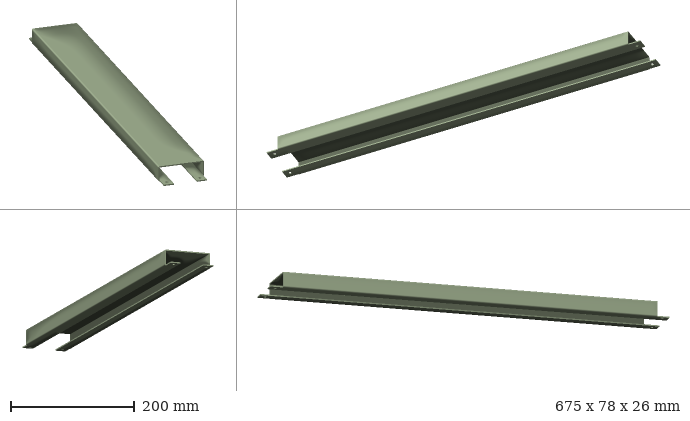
import cadquery as cq

total_length = 675.0
width = 78.0
height = 26.0

thickness = 2.0
outer_bend_radius = 2.35
inner_bend_radius = outer_bend_radius - thickness
lip_gap = 39.0

tab_length = 21.0
hole_diameter = 5.0
hole_end_distance = 10.0

channel_length = total_length - 2 * tab_length
tab_inner_y = lip_gap / 2
tab_outer_y = width / 2 - outer_bend_radius
tab_width = tab_outer_y - tab_inner_y
tab_center_y = (tab_inner_y + tab_outer_y) / 2


def make_channel():
    """Lipped channel along X, open between the two bottom lips."""
    outer = (
        cq.Workplane("XY")
        .box(channel_length, width, height, centered=(True, True, False))
        .edges("|X")
        .fillet(outer_bend_radius)
    )
    cavity = (
        cq.Workplane("XY", origin=(0, 0, thickness))
        .box(
            channel_length,
            width - 2 * thickness,
            height - 2 * thickness,
            centered=(True, True, False),
        )
        .edges("|X")
        .fillet(inner_bend_radius)
    )
    opening = cq.Workplane("XY").box(
        channel_length, lip_gap, 2 * thickness, centered=(True, True, False)
    )
    return outer.cut(cavity).cut(opening)


def make_tab_strip(side):
    """Full-length flat strip on one lip (side is -1 or 1), with a hole near each end."""
    hole_x = total_length / 2 - hole_end_distance
    return (
        cq.Workplane("XY", origin=(0, side * tab_center_y, 0))
        .box(total_length, tab_width, thickness, centered=(True, True, False))
        .faces(">Z")
        .workplane(centerOption="CenterOfBoundBox")
        .pushPoints([(-hole_x, 0), (hole_x, 0)])
        .hole(hole_diameter)
    )


result = make_channel()
for lip_side in (-1, 1):
    result = result.union(make_tab_strip(lip_side))